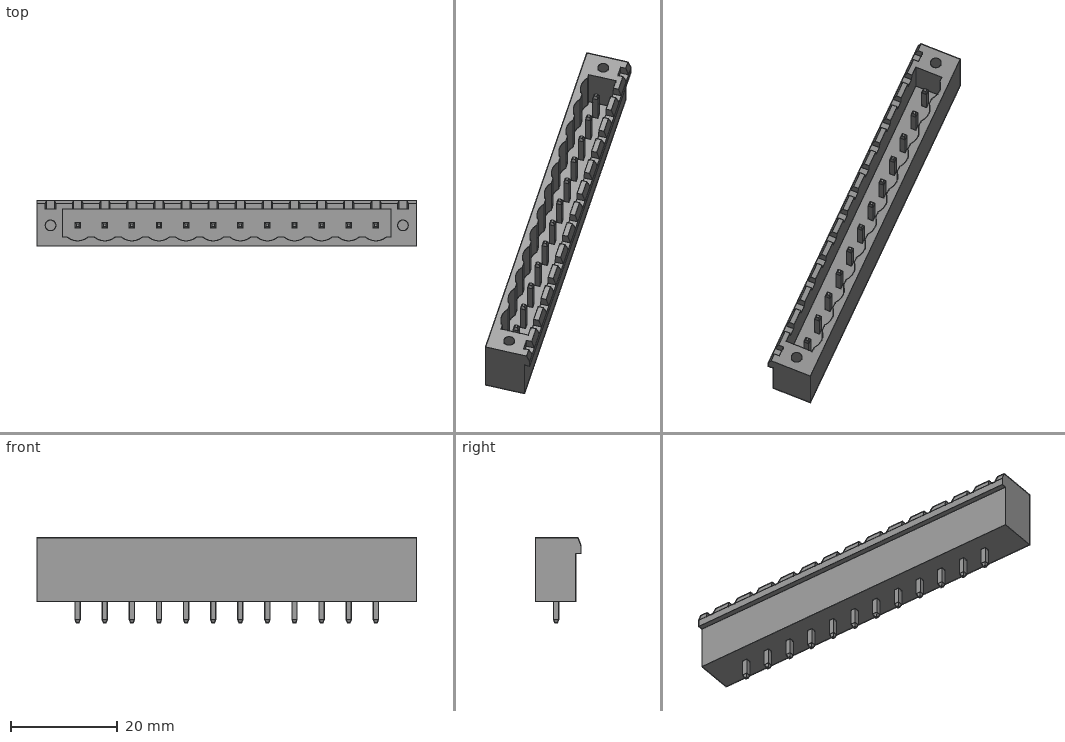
import cadquery as cq


pin_count = 12
pitch = 5.08
flange_margin = 2.54
body_height = 12.0
front_y = -3.9
back_y = 3.7

lip_height = 3.0
lip_overhang = 1.0
lip_chamfer_width = 0.6
lip_chamfer_height = 1.5

pocket_end_clearance = 2.8
pocket_front_y = -2.2
pocket_back_y = 3.1
pocket_floor_z = 3.5
scallop_width = 3.9
scallop_depth = 0.7

slot_top_width = 2.0
slot_bottom_width = 1.5
slot_depth = lip_chamfer_height

screw_hole_diameter = 2.0
screw_hole_depth = 8.0

pin_width = 1.0
pin_tip_width = 0.5
pin_tip_height = 0.65
pin_tail_length = 4.0
pin_top_z = 10.0

first_pin_x = -(pin_count - 1) * pitch / 2
pin_xs = [first_pin_x + i * pitch for i in range(pin_count)]
screw_x = pin_xs[-1] + pitch
half_length = screw_x + flange_margin
lip_y = back_y + lip_overhang
pocket_end_x = pin_xs[-1] + pocket_end_clearance


def make_body():
    """Extrude the end profile, including the chamfered lip, along X."""
    profile = [
        (front_y, 0),
        (back_y, 0),
        (back_y, body_height - lip_height),
        (lip_y, body_height - lip_height),
        (lip_y, body_height - lip_chamfer_height),
        (lip_y - lip_chamfer_width, body_height),
        (front_y, body_height),
    ]
    return cq.Workplane("YZ").polyline(profile).close().extrude(half_length, both=True)


def make_pocket():
    """Pocket volume with one arc-shaped scallop in the front wall per pin."""
    outline = (
        cq.Workplane("XY", origin=(0, 0, pocket_floor_z))
        .moveTo(-pocket_end_x, pocket_back_y)
        .lineTo(-pocket_end_x, pocket_front_y)
    )
    for x in pin_xs:
        outline = outline.lineTo(x - scallop_width / 2, pocket_front_y).threePointArc(
            (x, pocket_front_y - scallop_depth),
            (x + scallop_width / 2, pocket_front_y),
        )
    outline = outline.lineTo(pocket_end_x, pocket_front_y).lineTo(pocket_end_x, pocket_back_y)
    return outline.close().extrude(body_height - pocket_floor_z)


def make_slot(x):
    """Slot with sloping sides, from the pocket's back wall plane out through the lip."""
    floor_z = body_height - slot_depth
    profile = [
        (x - slot_bottom_width / 2, floor_z),
        (x + slot_bottom_width / 2, floor_z),
        (x + slot_top_width / 2, body_height),
        (x - slot_top_width / 2, body_height),
    ]
    return (
        cq.Workplane("XZ", origin=(0, pocket_back_y, 0))
        .polyline(profile)
        .close()
        .extrude(pocket_back_y - lip_y)
    )


def make_screw_hole(x):
    """Blind screw hole from the top face."""
    return (
        cq.Workplane("XY", origin=(x, 0, body_height - screw_hole_depth))
        .circle(screw_hole_diameter / 2)
        .extrude(screw_hole_depth)
    )


def make_pin_tip(x, base_z, end_z):
    """Tapered pin end, narrowing from base_z to end_z."""
    return (
        cq.Workplane("XY", origin=(x, 0, base_z))
        .rect(pin_width, pin_width)
        .workplane(offset=end_z - base_z)
        .rect(pin_tip_width, pin_tip_width)
        .loft(ruled=True)
    )


def make_pin(x):
    """Square pin with a tapered tip at both ends."""
    shank_bottom = pin_tip_height - pin_tail_length
    shank_top = pin_top_z - pin_tip_height
    shank = (
        cq.Workplane("XY", origin=(x, 0, shank_bottom))
        .rect(pin_width, pin_width)
        .extrude(shank_top - shank_bottom)
    )
    lower_tip = make_pin_tip(x, shank_bottom, -pin_tail_length)
    upper_tip = make_pin_tip(x, shank_top, pin_top_z)
    return shank.union(lower_tip).union(upper_tip)


result = make_body().cut(make_pocket())

for slot_x in [-screw_x] + pin_xs + [screw_x]:
    result = result.cut(make_slot(slot_x))

for hole_x in (-screw_x, screw_x):
    result = result.cut(make_screw_hole(hole_x))

for pin_x in pin_xs:
    result = result.union(make_pin(pin_x))